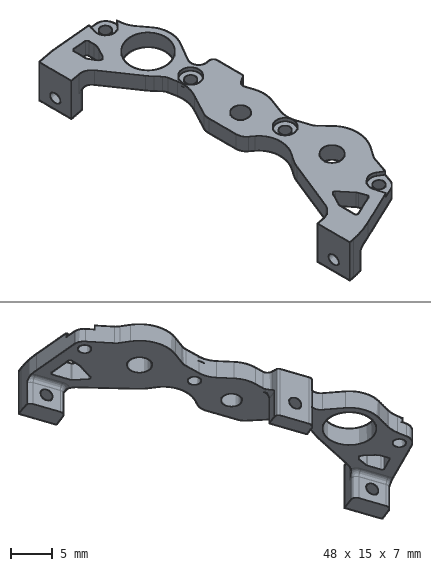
import cadquery as cq
import math

half_span = 24.0
top_z = 7.0
plate_thickness = 2.5
plate_bottom_z = top_z - plate_thickness
clearance = 1.0

leg_width = 5.0
foot_inner_x = half_span - leg_width
foot_center_x = half_span - leg_width / 2
foot_depth = 2.5
foot_bottom_z = 0.55
foot_corner_radius = 0.7
tab_left_x = -8.5
tab_center_x = tab_left_x + leg_width / 2
tab_back_y = 13.75
tab_thickness = 2.0
tab_corner_radius = 0.7
flare_radius = 0.7
leg_hole_z = 2.5

screw_diameter = 1.6
counterbore_diameter = 3.0
counterbore_depth = 0.6
left_hole = (-15.1, 9.65)
left_hole_diameter = 6.4
left_screw_offset = 6.58
middle_hole = (0.0, 8.67)
middle_hole_diameter = 2.5
right_hole = (12.87, 10.2)
right_hole_diameter = 3.0
right_screw_offset = 7.25
left_opening_angles = (50, 252)
right_opening_angles = (-75, 141)
outer_left_screw = (left_hole[0] - left_screw_offset, left_hole[1])
inner_left_screw = (left_hole[0] + left_screw_offset, left_hole[1])
inner_right_screw = (right_hole[0] - right_screw_offset, right_hole[1])
outer_right_screw = (right_hole[0] + right_screw_offset, right_hole[1])

left_hump_radius = 4.1
left_hump_angle = math.radians(32.7)
right_hump_radius = 4.75
right_hump_angle = math.radians(38.7)


def left_hump_corner(x, radius):
    """Outline corner at x on a flank of the left hump, or its peak."""
    peak_y = left_hole[1] + left_hump_radius / math.cos(left_hump_angle)
    return (x, peak_y - abs(x - left_hole[0]) * math.tan(left_hump_angle), radius)


def right_hump_corner(x, radius):
    """Outline corner at x on a flank of the right hump, or its peak."""
    peak_y = right_hole[1] + right_hump_radius / math.cos(right_hump_angle)
    return (x, peak_y - abs(x - right_hole[0]) * math.tan(right_hump_angle), radius)


waist_front_y = 5.5
inner_corner_radius = 2.0
side_bend_radius = 12.0
plate_corners = [
    (-half_span, 0, 0),
    (-half_span, 2.45, side_bend_radius),
    (-23.1, 11.05, 1.6),
    left_hump_corner(-19.74, 4.0),
    left_hump_corner(left_hole[0], left_hump_radius),
    left_hump_corner(tab_left_x, 1.35),
    (tab_left_x, tab_back_y, tab_corner_radius),
    (-3.74, tab_back_y, 0.3),
    (-3.05, 12.19, 0.8),
    (0.22, 13.18, 4.2),
    (4.64, 11.46, 3.5),
    right_hump_corner(8.18, 2.0),
    right_hump_corner(right_hole[0], right_hump_radius),
    right_hump_corner(17.12, 2.0),
    (21.44, 11.32, 1.5),
    (half_span, 2.3, side_bend_radius),
    (half_span, 0, 0),
    (foot_inner_x, 0, 0),
    (foot_inner_x, 2.48, inner_corner_radius),
    (10.46, 6.11, 4.0),
    (6.32, 9.3, 4.0),
    (2.72, waist_front_y, 2.0),
    (-2.85, waist_front_y, 2.0),
    (-7.57, 8.24, 4.5),
    (-10.8, 7.65, 1.5),
    (-12.3, 6.52, 9.0),
    (-foot_inner_x, 2.55, inner_corner_radius),
    (-foot_inner_x, 0, 0),
]

window_front_y = 4.05
window_radius = 0.3
left_window_corners = [
    (-22.25, window_front_y, window_radius),
    (-21.97, 6.5, window_radius),
    (-20.4, 6.5, 2.0),
    (-17.93, 5.1, 0.5),
    (-20.02, window_front_y, window_radius),
]
right_window_corners = [
    (21.79, window_front_y, window_radius),
    (20.82, 7.55, window_radius),
    (19.3, 7.05, 1.0),
    (16.81, 5.31, window_radius),
    (18.98, window_front_y, window_radius),
]


def rounded_polygon(corners, bottom_z, height):
    """Prism over a closed polygon whose corners are rounded by their own radius."""
    stretches = []
    for index, (x, y, radius) in enumerate(corners):
        corner = cq.Vector(x, y)
        before = cq.Vector(*corners[index - 1][:2])
        after = cq.Vector(*corners[(index + 1) % len(corners)][:2])
        if radius == 0:
            stretches.append((corner, None, corner))
            continue
        to_before = (before - corner).normalized()
        to_after = (after - corner).normalized()
        half_angle = to_before.getAngle(to_after) / 2
        setback = radius / math.tan(half_angle)
        arc_gap = radius / math.sin(half_angle) - radius
        middle = corner + (to_before + to_after).normalized() * arc_gap
        stretches.append((corner + to_before * setback, middle, corner + to_after * setback))

    first_end = stretches[0][2]
    path = cq.Workplane("XY", origin=(0, 0, bottom_z)).moveTo(first_end.x, first_end.y)
    for start, middle, end in stretches[1:] + stretches[:1]:
        path = path.lineTo(start.x, start.y)
        if middle is not None:
            path = path.threePointArc((middle.x, middle.y), (end.x, end.y))
    return path.close().extrude(height)


def vertical_hole(center, diameter, bottom_z):
    """Cutter for a round hole from bottom_z up through the top face."""
    height = top_z + clearance - bottom_z
    return cq.Workplane("XY", origin=(*center, bottom_z)).circle(diameter / 2).extrude(height)


def leg_hole(center_x, front_y, length):
    """Cutter for a cross hole along Y through a foot or the tab."""
    plane = cq.Workplane("XZ", origin=(center_x, front_y - clearance, leg_hole_z))
    return plane.circle(screw_diameter / 2).extrude(-(length + 2 * clearance))


def flared_foot(center_x):
    """Foot with rounded rear edges that flares into a slab as thick as the plate."""
    leg = (
        cq.Workplane("XY", origin=(center_x, 0, foot_bottom_z))
        .rect(leg_width, 2 * foot_depth)
        .extrude(top_z - foot_bottom_z)
        .edges("|Z")
        .fillet(foot_corner_radius)
    )
    slab_margin = 2 * (flare_radius + clearance)
    slab = (
        cq.Workplane("XY", origin=(center_x, 0, plate_bottom_z))
        .rect(leg_width + slab_margin, 2 * foot_depth + slab_margin)
        .extrude(plate_thickness)
    )
    reach_x = leg_width / 2 + flare_radius
    reach_y = foot_depth + flare_radius
    reach_z = flare_radius / 2
    junction = cq.selectors.BoxSelector(
        (center_x - reach_x, -reach_y, plate_bottom_z - reach_z),
        (center_x + reach_x, reach_y, plate_bottom_z + reach_z),
    )
    return leg.union(slab).edges(junction).fillet(flare_radius)


def flared_tab():
    """Tab whose two sides flare into the underside of the plate."""
    half_width = leg_width / 2
    arc_offset = flare_radius * (1 - math.sqrt(0.5))
    flare_bottom_z = plate_bottom_z - flare_radius
    return (
        cq.Workplane("XZ", origin=(tab_center_x, tab_back_y, 0))
        .moveTo(-half_width, 0)
        .lineTo(half_width, 0)
        .lineTo(half_width, flare_bottom_z)
        .threePointArc(
            (half_width + arc_offset, plate_bottom_z - arc_offset),
            (half_width + flare_radius, plate_bottom_z),
        )
        .lineTo(-half_width - flare_radius, plate_bottom_z)
        .threePointArc(
            (-half_width - arc_offset, plate_bottom_z - arc_offset),
            (-half_width, flare_bottom_z),
        )
        .close()
        .extrude(tab_thickness)
    )


def open_counterbore(center, tangent_angles):
    """Counterbore that opens to the plate edge between two tangent lines.

    The angles are the directions from the screw to the two points of tangency.
    The first line runs off counterclockwise, the second clockwise.
    """
    radius = counterbore_diameter / 2
    reach = counterbore_diameter
    floor_z = top_z - counterbore_depth
    points = [center]
    for degrees, turn in zip(tangent_angles, (1, -1)):
        angle = math.radians(degrees)
        tangency = (center[0] + radius * math.cos(angle), center[1] + radius * math.sin(angle))
        far_end = (
            tangency[0] - turn * reach * math.sin(angle),
            tangency[1] + turn * reach * math.cos(angle),
        )
        points += [tangency, far_end] if turn == 1 else [far_end, tangency]
    opening = (
        cq.Workplane("XY", origin=(0, 0, floor_z))
        .polyline(points)
        .close()
        .extrude(counterbore_depth + clearance)
    )
    return opening.union(vertical_hole(center, counterbore_diameter, floor_z))


plate = rounded_polygon(plate_corners, plate_bottom_z, plate_thickness)
outline_prism = rounded_polygon(plate_corners, 0, top_z)
result = plate
for leg in (flared_foot(-foot_center_x), flared_foot(foot_center_x), flared_tab()):
    result = result.union(leg.intersect(outline_prism))

for corners in (left_window_corners, right_window_corners):
    result = result.cut(rounded_polygon(corners, 0, top_z + clearance))

for center, diameter in (
    (left_hole, left_hole_diameter),
    (middle_hole, middle_hole_diameter),
    (right_hole, right_hole_diameter),
):
    result = result.cut(vertical_hole(center, diameter, 0))

for center in (outer_left_screw, inner_left_screw, inner_right_screw, outer_right_screw):
    result = result.cut(vertical_hole(center, screw_diameter, 0))
for center in (inner_left_screw, inner_right_screw):
    result = result.cut(vertical_hole(center, counterbore_diameter, top_z - counterbore_depth))
result = result.cut(open_counterbore(outer_left_screw, left_opening_angles))
result = result.cut(open_counterbore(outer_right_screw, right_opening_angles))

for center_x in (-foot_center_x, foot_center_x):
    result = result.cut(leg_hole(center_x, 0, foot_depth))
result = result.cut(leg_hole(tab_center_x, tab_back_y - tab_thickness, tab_thickness))